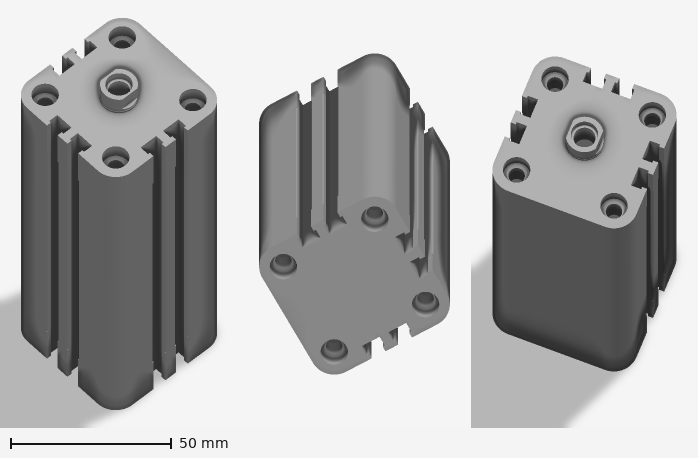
import cadquery as cq

side = 47.5
total_height = 131.0
screw_pitch = 32.5
corner_radius = (side - screw_pitch) / 2

rod_exposed = 7.0
cap_thickness = 14.4
cap_top = total_height - rod_exposed
barrel_top = cap_top - cap_thickness

slot_offset = 4.7
slot_depth = 5.1
lip_depth = 1.7
slot_mouth_width = 5.0
slot_inner_width = 6.5
barrel_slot_chamfer = 0.4
slotted_side_angles = (-90, 0, 180)

screw_hole_diameter = 5.1
counterbore_diameter = 8.5
counterbore_depth = 5.0

shank_diameter = 12.0
shank_exposed = 0.8
tip_diameter = 11.8
flat_width = 10.0
flat_height = 5.0
flat_shoulder_drop = 0.5
rod_recess_diameter = 8.5
rod_recess_depth = 3.0
rod_hole_diameter = 6.8
rod_hole_depth = 13.1


def profile_block(bottom, height, mouth_chamfer=0):
    """Rounded square block, from z = bottom up, with T-slots along its full height."""
    block = (
        cq.Workplane("XY", origin=(0, 0, bottom))
        .rect(side, side)
        .extrude(height)
        .edges("|Z")
        .fillet(corner_radius)
    )
    for side_angle in slotted_side_angles:
        for y in (-slot_offset, slot_offset):
            slot = slot_outline(bottom, y, mouth_chamfer).extrude(height)
            block = block.cut(slot.rotate((0, 0, 0), (0, 0, 1), side_angle))
    return block


def slot_outline(bottom, y, mouth_chamfer):
    """Outline of one T-slot in the +X side, centred on y, its mouth widened by mouth_chamfer."""
    face_x = side / 2
    floor_x = face_x - slot_depth
    lip_x = face_x - lip_depth
    half_mouth = slot_mouth_width / 2
    half_inner = slot_inner_width / 2
    upper_half = [
        (floor_x, half_inner),
        (lip_x, half_inner),
        (lip_x, half_mouth),
    ]
    if mouth_chamfer > 0:
        upper_half.append((face_x - mouth_chamfer, half_mouth))
    upper_half.append((face_x, half_mouth + mouth_chamfer))
    lower_half = [(x, -half_y) for x, half_y in reversed(upper_half)]
    return cq.Workplane("XY", origin=(0, y, bottom)).polyline(upper_half + lower_half).close()


def end_cap(bottom, outer_face):
    """End cap with four screw holes, counterbored from its outer face ('>Z' or '<Z')."""
    return (
        profile_block(bottom, cap_thickness)
        .faces(outer_face)
        .workplane(origin=(0, 0, 0))
        .rect(screw_pitch, screw_pitch, forConstruction=True)
        .vertices()
        .cboreHole(screw_hole_diameter, counterbore_diameter, counterbore_depth)
    )


def flat_cutter():
    """Cutter for the wrench flat on the +X side; its shoulder slopes down to the rim of the rod tip."""
    flat_x = flat_width / 2
    tip_radius = tip_diameter / 2
    shoulder_z = total_height - flat_height
    return (
        cq.Workplane("XZ")
        .moveTo(flat_x, total_height)
        .lineTo(flat_x, shoulder_z)
        .lineTo(tip_radius, shoulder_z - flat_shoulder_drop)
        .lineTo(tip_radius, total_height)
        .close()
        .extrude(tip_radius, both=True)
    )


def piston_rod():
    """Rod seated in the head cap, with two wrench flats and a stepped blind hole in its tip."""
    tip_bottom = cap_top + shank_exposed
    shank = cq.Workplane("XY", origin=(0, 0, barrel_top)).circle(shank_diameter / 2)
    shank = shank.extrude(tip_bottom - barrel_top)
    shank = shank.faces(">Z").edges().chamfer((shank_diameter - tip_diameter) / 2)
    tip = cq.Workplane("XY", origin=(0, 0, tip_bottom)).circle(tip_diameter / 2)
    tip = tip.extrude(total_height - tip_bottom)
    flat = flat_cutter()
    return (
        shank.union(tip)
        .cut(flat)
        .cut(flat.mirror("YZ"))
        .faces(">Z")
        .workplane(origin=(0, 0, 0))
        .cboreHole(rod_hole_diameter, rod_recess_diameter, rod_recess_depth, rod_hole_depth)
    )


barrel = profile_block(cap_thickness, barrel_top - cap_thickness, barrel_slot_chamfer)
rear_cap = end_cap(0, "<Z")
head_cap = end_cap(barrel_top, ">Z").faces(">Z").workplane(origin=(0, 0, 0)).hole(shank_diameter)
rod = piston_rod()

result = cq.Compound.makeCompound([barrel.val(), rear_cap.val(), head_cap.val(), rod.val()])